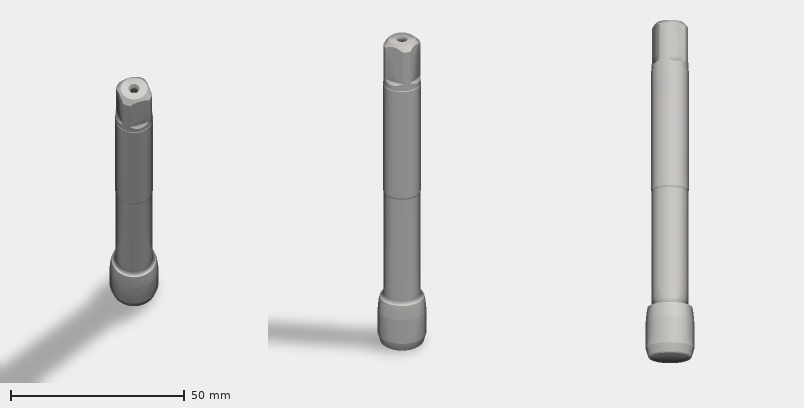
import cadquery as cq
import math

total_length = 100.0
thread_length = 15.0
full_thread_end = 10.5
lead_length = 2.8
tip_edge_height = 0.3
neck_end = 49.6
neck_taper_length = 0.6
neck_foot_height = 1.1
neck_foot_radius = 1.2
shank_end = 85.7
shank_edge = 0.2

thread_diameter = 14.1
lead_diameter = 12.6
tip_diameter = 12.0
runout_diameter = 12.9
neck_foot_diameter = 12.1
neck_diameter = 10.6
shank_diameter = 11.0
drive_diameter = 10.7

square_width = 9.0
square_length = 12.0
drive_chamfer = 1.5

centre_diameter = 2.0
countersink_diameter = 3.3
countersink_angle = 60.0
centre_depth = 3.0
drill_point_angle = 120.0


def make_cutting_head():
    """Threaded head as its plain envelope: edge chamfer, lead taper, full diameter and curved runout."""
    thread_radius = thread_diameter / 2
    runout_radius = runout_diameter / 2
    runout_length = thread_length - full_thread_end
    return (
        cq.Workplane("XZ")
        .lineTo(tip_diameter / 2, 0)
        .lineTo(lead_diameter / 2, tip_edge_height)
        .lineTo(thread_radius, lead_length)
        .lineTo(thread_radius, full_thread_end)
        .tangentArcPoint((runout_radius - thread_radius, runout_length))
        .lineTo(0, thread_length)
        .close()
        .revolve(360, (0, 0, 0), (0, 1, 0))
    )


def make_shank_blank():
    """Turned neck, shank and drive end, resting on the cutting head."""
    drive_radius = drive_diameter / 2
    neck_radius = neck_diameter / 2
    shank_radius = shank_diameter / 2
    return (
        cq.Workplane("XZ")
        .moveTo(0, thread_length)
        .lineTo(neck_foot_diameter / 2, thread_length)
        .radiusArc((neck_radius, thread_length + neck_foot_height), neck_foot_radius)
        .lineTo(neck_radius, neck_end)
        .lineTo(shank_radius, neck_end + neck_taper_length)
        .lineTo(shank_radius, shank_end - shank_edge)
        .lineTo(drive_radius, shank_end)
        .lineTo(drive_radius, total_length - drive_chamfer)
        .lineTo(drive_radius - drive_chamfer, total_length)
        .lineTo(0, total_length)
        .close()
        .revolve(360, (0, 0, 0), (0, 1, 0))
    )


def make_flat_cutter():
    """Cutter for the +X flat, with a 45 degree slope at the foot of the flat."""
    flat = square_width / 2
    outer = shank_diameter / 2
    foot = total_length - square_length
    return (
        cq.Workplane("XZ")
        .polyline([
            (flat, foot),
            (outer, foot - (outer - flat)),
            (outer, total_length),
            (flat, total_length),
        ])
        .close()
        .extrude(shank_diameter / 2, both=True)
    )


def make_centre_hole():
    """Countersunk centre hole with a conical bottom."""
    hole_radius = centre_diameter / 2
    countersink_radius = countersink_diameter / 2
    countersink_depth = (countersink_radius - hole_radius) / math.tan(math.radians(countersink_angle / 2))
    point_depth = hole_radius / math.tan(math.radians(drill_point_angle / 2))
    hole_floor = total_length - centre_depth
    return (
        cq.Workplane("XZ")
        .moveTo(0, total_length)
        .lineTo(countersink_radius, total_length)
        .lineTo(hole_radius, total_length - countersink_depth)
        .lineTo(hole_radius, hole_floor)
        .lineTo(0, hole_floor - point_depth)
        .close()
        .revolve(360, (0, 0, 0), (0, 1, 0))
    )


def make_shank():
    shank = make_shank_blank()
    flat_cutter = make_flat_cutter()
    for angle in (0, 90, 180, 270):
        shank = shank.cut(flat_cutter.rotate((0, 0, 0), (0, 0, 1), angle))
    return shank.cut(make_centre_hole())


cutting_head = make_cutting_head()
shank = make_shank()
result = cq.Compound.makeCompound([cutting_head.val(), shank.val()])